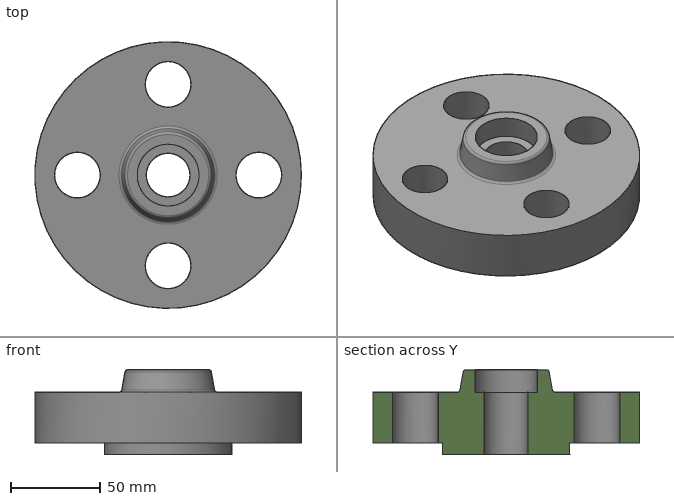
import cadquery as cq

flange_diameter = 149.35
flange_thickness = 28.6

face_diameter = 71.5
face_height = 6.35

hub_height = 12.55
hub_base_diameter = 52.5
hub_top_diameter = 48.0
hub_rounding_radius = 1.5

socket_diameter = 34.6
socket_depth = 12.7
bore_diameter = 24.3

bolt_hole_count = 4
bolt_hole_diameter = 25.4
bolt_circle_diameter = 101.6

flange_bottom = face_height
flange_top = flange_bottom + flange_thickness
hub_top = flange_top + hub_height


def cylinder(diameter, bottom, top):
    """Upright cylinder on the Z axis between two levels."""
    return cq.Workplane("XY").workplane(offset=bottom).circle(diameter / 2).extrude(top - bottom)


def make_body():
    """Raised face, disc and tapered hub, revolved from one half section."""
    half_section = [
        (0, 0),
        (face_diameter / 2, 0),
        (face_diameter / 2, flange_bottom),
        (flange_diameter / 2, flange_bottom),
        (flange_diameter / 2, flange_top),
        (hub_base_diameter / 2, flange_top),
        (hub_top_diameter / 2, hub_top),
        (0, hub_top),
    ]
    return cq.Workplane("XZ").polyline(half_section).close().revolve(360, (0, 0, 0), (0, 1, 0))


def round_hub(body):
    """Round the hub's top rim and its root on the disc."""
    hub_edges = body.faces("%CONE").edges("%CIRCLE")
    return hub_edges.fillet(hub_rounding_radius)


def cut_pipe_passage(body):
    """Cut the through bore and the wider pipe socket at the hub end."""
    bore = cylinder(bore_diameter, 0, hub_top)
    socket = cylinder(socket_diameter, hub_top - socket_depth, hub_top)
    return body.cut(bore).cut(socket)


def cut_bolt_holes(body):
    """Cut the bolt holes through the disc, the first one on the +X axis."""
    holes = (
        cq.Workplane("XY")
        .workplane(offset=flange_bottom)
        .polarArray(bolt_circle_diameter / 2, 0, 360, bolt_hole_count)
        .circle(bolt_hole_diameter / 2)
        .extrude(flange_thickness)
    )
    return body.cut(holes)


result = cut_bolt_holes(cut_pipe_passage(round_hub(make_body())))